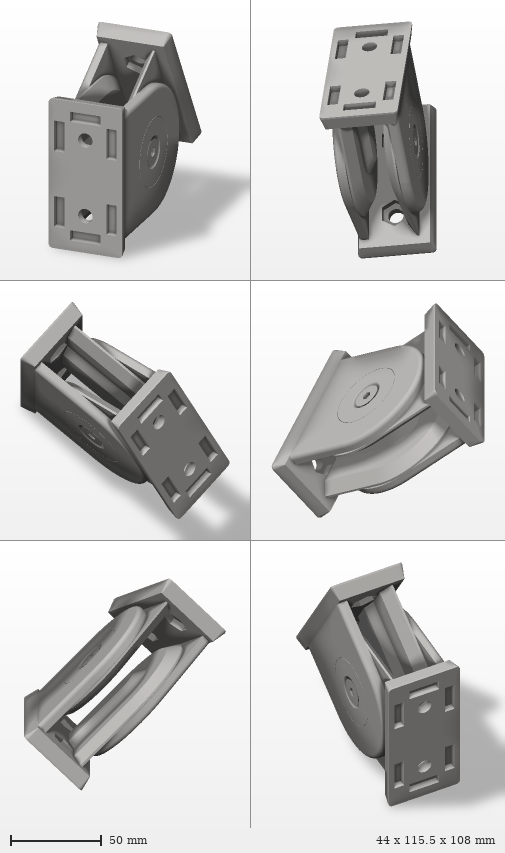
import cadquery as cq
import math


OVERALL_Y = 115.5
HINGE_ANGLE = 30.0

PLATE_WIDTH = 44.0
PLATE_LENGTH = 89.0
PLATE_THICKNESS = 8.9
RIM_THICKNESS = 1.0
PLATE_CORNER_RADIUS = 2.4
PLATE_SIDE_INSET = 2.0

HOLE_OFFSET = 22.5
HOLE_DIAMETER = 8.5
NUT_POCKET_ACROSS_FLATS = 14.0
NUT_POCKET_DEPTH = 4.0
SLOT_LENGTH = 18.1
SLOT_WIDTH = 6.0
SLOT_DEPTH = 4.0
SIDE_SLOT_OFFSET = 15.6
END_SLOT_OFFSET = 35.4

ARM_RADIUS = 37.5
ARM_REACH = 1.7
CHEEK_THICKNESS = 5.8
CHEEK_EDGE_RADIUS = 2.5
CHEEK_GAP = 0.3
ARM_LAND = 1.3
ARM_SLOPE_RUN = 5.0
ARM_SLOPE_INSET = 7.4
ISLAND_RADIUS = 14.6
ISLAND_HEIGHT = 3.9
ISLAND_SLOPE_INSET = 6.9

DISC_RADIUS = 19.9
DISC_CLEARANCE = 0.2
DISC_THICKNESS = 4.0
COUNTERSINK_RADIUS = 9.5
BOLT_HEAD_RADIUS = 7.6
BOLT_HEAD_DEPTH = 0.3
BOLT_SHANK_RADIUS = 4.0
BOLT_TIP_COVER = 2.3
SOCKET_ACROSS_FLATS = 5.0
SOCKET_DEPTH = 2.9

swing = math.radians(HINGE_ANGLE)
axis_to_face = (OVERALL_Y - PLATE_LENGTH / 2 * math.sin(swing)) / (1 + math.cos(swing))
face_y = -axis_to_face
plate_inner_y = face_y + PLATE_THICKNESS
cheek_outer_x = PLATE_WIDTH / 2 - PLATE_SIDE_INSET
cheek_inner_x = cheek_outer_x - CHEEK_THICKNESS
arm_outer_x = cheek_inner_x - CHEEK_GAP
arm_land_x = arm_outer_x - ARM_LAND
arm_inner_x = arm_land_x - ARM_SLOPE_RUN
island_inner_x = arm_inner_x - ISLAND_HEIGHT
disc_seat_x = cheek_outer_x - DISC_THICKNESS
bolt_face_x = cheek_outer_x - BOLT_HEAD_DEPTH
bolt_tip_x = island_inner_x + BOLT_TIP_COVER


def hexagon_diameter(across_flats):
    return across_flats / math.cos(math.pi / 6)


def facing_y(y):
    """Workplane at the given Y, with local x along -X, local y along Z and normal along +Y."""
    return cq.Workplane(cq.Plane(origin=(0, y, 0), xDir=(-1, 0, 0), normal=(0, 1, 0)))


def facing_x(x):
    """Workplane at the given X, with local x along Y, local y along Z and normal along +X."""
    return cq.Workplane("YZ", origin=(x, 0, 0))


def arm_profile(workplane, radius):
    """Round-ended outline that runs out from the plate around the pivot."""
    return (
        workplane.moveTo(plate_inner_y, -radius)
        .lineTo(ARM_REACH, -radius)
        .threePointArc((ARM_REACH + radius, 0), (ARM_REACH, radius))
        .lineTo(plate_inner_y, radius)
        .close()
    )


def sloped_arm(x_start, radius, depth, inset):
    """Arm layer that narrows by `inset` all round over `depth` toward +X."""
    base = arm_profile(facing_x(x_start), radius)
    return arm_profile(base.workplane(offset=depth), radius - inset).loft(ruled=True)


def make_plate():
    outline = cq.Sketch().rect(PLATE_WIDTH, PLATE_LENGTH).vertices().fillet(PLATE_CORNER_RADIUS)
    slope_depth = PLATE_THICKNESS - RIM_THICKNESS
    draft = math.degrees(math.atan(PLATE_SIDE_INSET / slope_depth))
    rim = facing_y(face_y).placeSketch(outline).extrude(RIM_THICKNESS)
    body = facing_y(face_y + RIM_THICKNESS).placeSketch(outline).extrude(slope_depth, taper=draft)
    return rim.union(body)


def cut_plate_openings(bracket):
    hole_places = [(0, HOLE_OFFSET), (0, -HOLE_OFFSET)]
    side_places = [(x, z) for x in (-SIDE_SLOT_OFFSET, SIDE_SLOT_OFFSET) for _, z in hole_places]
    end_places = [(0, END_SLOT_OFFSET), (0, -END_SLOT_OFFSET)]
    outside = facing_y(face_y)
    holes = outside.pushPoints(hole_places).circle(HOLE_DIAMETER / 2).extrude(PLATE_THICKNESS)
    side_slots = outside.pushPoints(side_places).rect(SLOT_WIDTH, SLOT_LENGTH).extrude(SLOT_DEPTH)
    end_slots = outside.pushPoints(end_places).rect(SLOT_LENGTH, SLOT_WIDTH).extrude(SLOT_DEPTH)
    pockets = (
        facing_y(plate_inner_y)
        .transformed(rotate=(0, 0, 90))
        .pushPoints([(z, x) for x, z in hole_places])
        .polygon(6, hexagon_diameter(NUT_POCKET_ACROSS_FLATS))
        .extrude(-NUT_POCKET_DEPTH)
    )
    return bracket.cut(holes).cut(side_slots).cut(end_slots).cut(pockets)


def make_cheek():
    cheek = arm_profile(facing_x(cheek_inner_x), ARM_RADIUS).extrude(CHEEK_THICKNESS)
    rounded_edges = cheek.faces(">X").edges(cq.selectors.BoxSelector(
        (cheek_inner_x, plate_inner_y + 1.2, -2 * ARM_RADIUS),
        (cheek_outer_x + 1.2, 2 * ARM_RADIUS, 2 * ARM_RADIUS),
    ))
    cheek = rounded_edges.fillet(CHEEK_EDGE_RADIUS)
    seat = facing_x(disc_seat_x).circle(DISC_RADIUS + DISC_CLEARANCE).extrude(DISC_THICKNESS)
    bolt_hole = facing_x(cheek_inner_x).circle(BOLT_SHANK_RADIUS).extrude(CHEEK_THICKNESS)
    return cheek.cut(seat).cut(bolt_hole)


def make_inner_arm():
    land = arm_profile(facing_x(-arm_outer_x), ARM_RADIUS).extrude(ARM_LAND)
    slope = sloped_arm(-arm_land_x, ARM_RADIUS, ARM_SLOPE_RUN, ARM_SLOPE_INSET)
    island = sloped_arm(-arm_inner_x, ISLAND_RADIUS, ISLAND_HEIGHT, ISLAND_SLOPE_INSET)
    bolt_hole = facing_x(-arm_outer_x).circle(BOLT_SHANK_RADIUS).extrude(arm_outer_x - bolt_tip_x)
    return land.union(slope).union(island).cut(bolt_hole)


def make_bracket():
    bracket = make_plate().union(make_cheek()).union(make_inner_arm())
    return cut_plate_openings(bracket)


def right_angle_cone(face_x, face_radius, depth):
    """Cone with a 90 degree included angle that narrows from `face_x` toward -X."""
    return (
        facing_x(face_x - depth).circle(face_radius - depth)
        .workplane(offset=depth).circle(face_radius)
        .loft(ruled=True)
    )


def make_disc():
    blank = facing_x(disc_seat_x).circle(DISC_RADIUS).extrude(DISC_THICKNESS)
    return blank.cut(right_angle_cone(cheek_outer_x, COUNTERSINK_RADIUS, DISC_THICKNESS))


def make_bolt():
    head = right_angle_cone(bolt_face_x, BOLT_HEAD_RADIUS, BOLT_HEAD_RADIUS - BOLT_SHANK_RADIUS)
    shank = facing_x(bolt_tip_x).circle(BOLT_SHANK_RADIUS).extrude(bolt_face_x - bolt_tip_x)
    socket = (
        facing_x(bolt_face_x)
        .transformed(rotate=(0, 0, 90))
        .polygon(6, hexagon_diameter(SOCKET_ACROSS_FLATS))
        .extrude(-SOCKET_DEPTH)
    )
    return head.union(shank).cut(socket)


def turn_to_far_side(body):
    """Half turn about Z, which moves a +X body to the -X side."""
    return body.rotate((0, 0, 0), (0, 0, 1), 180)


fixed_bracket = make_bracket()
swung_bracket = turn_to_far_side(make_bracket()).rotate((0, 0, 0), (1, 0, 0), HINGE_ANGLE)

discs = []
bolts = []
for to_far_side in (False, True):
    disc = make_disc()
    bolt = make_bolt()
    if to_far_side:
        disc = turn_to_far_side(disc)
        bolt = turn_to_far_side(bolt)
    discs.append(disc.val())
    bolts.append(bolt.val())

result = cq.Compound.makeCompound([fixed_bracket.val(), swung_bracket.val(), *discs, *bolts])